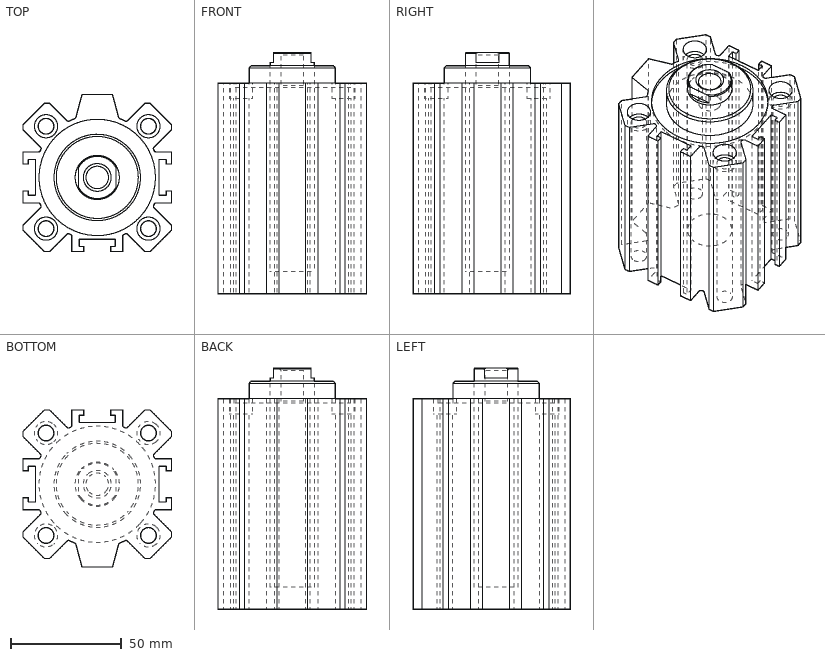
import cadquery as cq
import math


total_height = 109.0
rod_projection = 6.0
housing_height = 95.0
collar_top = total_height - rod_projection

profile_width = 67.0
profile_depth = 71.0
half_width = profile_width / 2
barrel_radius = 28.5
notch_fillet = 0.8
root_tolerance = 0.1

lug_tip_width = 2.4
lug_tip_inner = 21.5
lug_tip_outer = lug_tip_inner + lug_tip_width
lug_width = (half_width - lug_tip_inner) * math.sqrt(2)
lug_reach = (half_width + lug_tip_outer) / math.sqrt(2)

hole_offset = 23.1
hole_diameter = 7.0
counterbore_diameter = 10.5
counterbore_depth = 7.0

rail_width = 23.1
slot_floor = 27.9
slot_width = 16.0
slot_mouth_width = 12.1
lip_thickness = 2.4

foot_reach = profile_depth - half_width
foot_tip_width = 13.8
foot_flank_angle = 15.0

recess_diameter = 52.5
recess_depth = 2.0
collar_diameter = 39.0
collar_chamfer = 1.0

rod_diameter = 20.0
rod_bottom = 10.0
rod_chamfer = 0.4
flat_spacing = 17.0
flat_height = 4.6
bore_diameter = 10.1
bore_depth = 15.0
bore_chamfer = 1.2


def block(size_x, size_y, inner_x):
    """Full-height block centred on the X axis, starting at inner_x."""
    return (
        cq.Workplane("XY")
        .box(size_x, size_y, housing_height, centered=(False, True, False))
        .translate((inner_x, 0, 0))
    )


def about_axis(body, angle):
    """Copy of a body turned about the cylinder axis."""
    return body.rotate((0, 0, 0), (0, 0, 1), angle)


def make_lugs():
    """Four diagonal lugs, cut off by the square outline of the profile."""
    lug = block(lug_reach, lug_width, 0)
    outline = cq.Workplane("XY").box(
        profile_width, profile_width, housing_height, centered=(True, True, False)
    )
    lugs = cq.Workplane("XY")
    for angle in (45, 135, 225, 315):
        lugs = lugs.union(about_axis(lug, angle).intersect(outline))
    return lugs


def make_foot():
    """Foot narrowing toward +Y, its flanks running back to the axis inside the barrel."""
    tip_half = foot_tip_width / 2
    base_half = tip_half + foot_reach * math.tan(math.radians(foot_flank_angle))
    return (
        cq.Workplane("XY")
        .polyline([(-base_half, 0), (base_half, 0), (tip_half, foot_reach), (-tip_half, foot_reach)])
        .close()
        .extrude(housing_height)
    )


def make_t_slot():
    """Void of one T-slot, opening toward +X."""
    chamber = block(half_width - lip_thickness - slot_floor, slot_width, slot_floor)
    mouth = block(half_width - slot_floor, slot_mouth_width, slot_floor)
    return chamber.union(mouth)


def at_barrel_surface(edge):
    """True for an upright edge in the root of a notch."""
    middle = edge.Center()
    return abs(math.hypot(middle.x, middle.y) - barrel_radius) < root_tolerance


def make_profile():
    """Extruded section with lugs, foot, rails and T-slots around a round barrel."""
    rail_angles = (0, 180, 270)
    rail = block(half_width, rail_width, 0)
    profile = cq.Workplane("XY").circle(barrel_radius).extrude(housing_height)
    profile = profile.union(make_lugs()).union(make_foot())
    for angle in rail_angles:
        profile = profile.union(about_axis(rail, angle))
    roots = [edge for edge in profile.edges("|Z").vals() if at_barrel_surface(edge)]
    profile = profile.newObject(roots).fillet(notch_fillet)
    for angle in rail_angles:
        profile = profile.cut(about_axis(make_t_slot(), angle))
    return profile


def make_housing():
    """Profile with mounting holes, a recessed collar and a blind hole for the rod."""
    recess_floor = housing_height - recess_depth
    housing = (
        make_profile()
        .faces(">Z")
        .workplane(origin=(0, 0, housing_height))
        .rect(2 * hole_offset, 2 * hole_offset, forConstruction=True)
        .vertices()
        .cboreHole(hole_diameter, counterbore_diameter, counterbore_depth)
    )
    recess = (
        cq.Workplane("XY").workplane(offset=recess_floor).circle(recess_diameter / 2).extrude(recess_depth)
    )
    collar = (
        cq.Workplane("XY")
        .workplane(offset=recess_floor)
        .circle(collar_diameter / 2)
        .extrude(collar_top - recess_floor)
        .faces(">Z")
        .chamfer(collar_chamfer)
    )
    rod_hole = (
        cq.Workplane("XY")
        .workplane(offset=rod_bottom)
        .circle(rod_diameter / 2)
        .extrude(total_height - rod_bottom)
    )
    return housing.cut(recess).union(collar).cut(rod_hole)


def make_rod():
    """Round rod with two wrench flats and a blind bore in its end."""
    rod = (
        cq.Workplane("XY")
        .workplane(offset=rod_bottom)
        .circle(rod_diameter / 2)
        .extrude(total_height - rod_bottom)
        .faces(">Z")
        .chamfer(rod_chamfer)
    )
    end_plane = cq.Workplane("XY").workplane(offset=total_height - flat_height)
    around_end = end_plane.rect(2 * rod_diameter, 2 * rod_diameter).extrude(flat_height)
    slab = end_plane.rect(flat_spacing, 2 * rod_diameter).extrude(flat_height)
    flats = around_end.cut(slab)
    bore_radius = bore_diameter / 2
    bore_bottom = total_height - bore_depth
    bore = (
        cq.Workplane("XZ")
        .moveTo(0, bore_bottom)
        .lineTo(bore_radius, bore_bottom)
        .lineTo(bore_radius, total_height - bore_chamfer)
        .lineTo(bore_radius + bore_chamfer, total_height)
        .lineTo(0, total_height)
        .close()
        .revolve(360, (0, 0), (0, 1))
    )
    return rod.cut(flats).cut(bore)


housing = make_housing()
rod = make_rod()

result = cq.Compound.makeCompound([housing.val(), rod.val()])